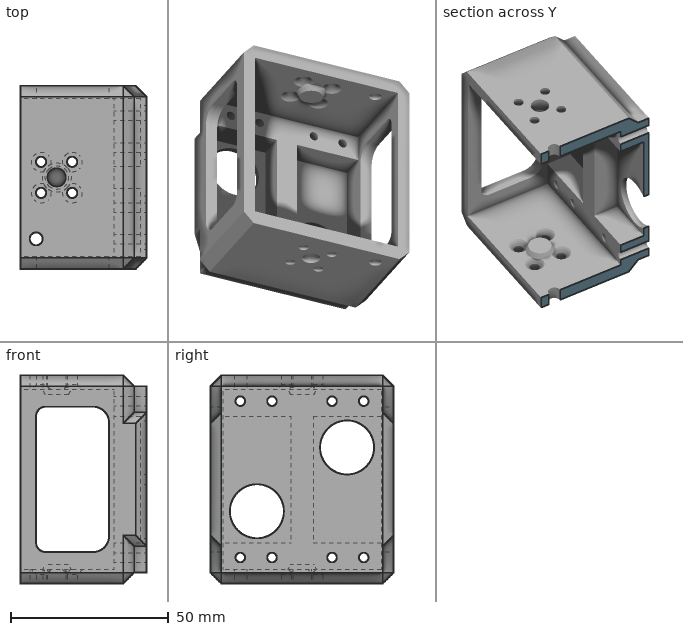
import cadquery as cq

DEPTH = 40.0
WIDTH = 58.0
HEIGHT = 66.0

CHAMFER = 3.5
BACK_STEP = 3.95
SIDE_WALL = 3.95
END_WALL = 4.5
SHELL_DEPTH = DEPTH - BACK_STEP

PAD_HEIGHT = 35.4
PAD_START = SHELL_DEPTH - CHAMFER

CAVITY_DEPTH = 29.5
CAVITY_WIDTH = WIDTH - 2 * SIDE_WALL
CAVITY_HEIGHT = HEIGHT - 2 * END_WALL
RIB_WIDTH = 7.0
POCKET_WIDTH = (CAVITY_WIDTH - RIB_WIDTH) / 2
POCKET_HEIGHT = 40.0
POCKET_FLOOR = 2.0
POCKET_Y = (RIB_WIDTH + POCKET_WIDTH) / 2

SHAFT_DIAMETER = 17.0
SHAFT_OFFSET_Z = 10.1
MOUNT_DIAMETER = 3.0
MOUNT_Y = 14.5
MOUNT_SPACING_Y = 10.0
MOUNT_SPACING_Z = 49.5

WINDOW_START = 5.0
WINDOW_END = 28.05
WINDOW_HEIGHT = 45.95
WINDOW_FRONT_RADIUS = 3.0
WINDOW_BACK_RADIUS = 5.0

PIVOT_X = 11.5
PIVOT_HOLE_DIAMETER = 5.8
PIVOT_HOLE_DEPTH = END_WALL
BOSS_BASE_DIAMETER = 9.2
BOSS_TIP_DIAMETER = 7.4
BOSS_HEIGHT = 1.6
SCREW_SPACING = 9.85
SCREW_DIAMETER = 3.2
COUNTERSINK_DIAMETER = 6.2

CABLE_DIAMETER = 4.0
CABLE_X = 5.0
CABLE_Y = -19.5


def block(x_start, x_end, width, height):
    """Box between two X positions, centred on the X axis."""
    box = cq.Workplane("XY").box(x_end - x_start, width, height, centered=(False, True, True))
    return box.translate((x_start, 0, 0))


def make_outer_body():
    shell = block(0, SHELL_DEPTH, WIDTH, HEIGHT).edges("|X or >X").chamfer(CHAMFER)
    plate = block(PAD_START, DEPTH, WIDTH - 2 * CHAMFER, HEIGHT - 2 * CHAMFER)
    pads = (
        block(PAD_START, DEPTH, WIDTH, PAD_HEIGHT + 2 * CHAMFER)
        .edges("|X").chamfer(CHAMFER)
        .edges(">X and |Z").chamfer(CHAMFER)
    )
    return shell.union(plate).union(pads)


def cut_cavity(body):
    body = body.cut(block(0, CAVITY_DEPTH, CAVITY_WIDTH, CAVITY_HEIGHT))
    pocket = block(CAVITY_DEPTH, DEPTH - POCKET_FLOOR, POCKET_WIDTH, POCKET_HEIGHT)
    for side in (-1, 1):
        body = body.cut(pocket.translate((0, side * POCKET_Y, 0)))
    return body


def cut_back_holes(body):
    mount_points = [
        (side * MOUNT_Y + across * MOUNT_SPACING_Y / 2, end * MOUNT_SPACING_Z / 2)
        for side in (-1, 1)
        for across in (-1, 1)
        for end in (-1, 1)
    ]
    shaft_points = [(side * POCKET_Y, side * SHAFT_OFFSET_Z) for side in (-1, 1)]
    mounts = cq.Workplane("YZ").pushPoints(mount_points).circle(MOUNT_DIAMETER / 2).extrude(DEPTH)
    shafts = cq.Workplane("YZ").pushPoints(shaft_points).circle(SHAFT_DIAMETER / 2).extrude(DEPTH)
    return body.cut(mounts).cut(shafts)


def cut_windows(body):
    window = (
        block(WINDOW_START, WINDOW_END, WIDTH, WINDOW_HEIGHT)
        .edges("|Y and <X").fillet(WINDOW_FRONT_RADIUS)
        .edges("|Y and >X").fillet(WINDOW_BACK_RADIUS)
    )
    return body.cut(window)


def add_pivots(body):
    """Tapered bosses inside both end walls, each backed by a blind hole from outside.

    The boss has a round root in the wall, which fills in the edges of the countersinks.
    """
    boss = (
        cq.Workplane("XY", origin=(PIVOT_X, 0, END_WALL - HEIGHT / 2))
        .circle(BOSS_BASE_DIAMETER / 2)
        .workplane(offset=BOSS_HEIGHT)
        .circle(BOSS_TIP_DIAMETER / 2)
        .loft()
    )
    root = (
        cq.Workplane("XY", origin=(PIVOT_X, 0, -HEIGHT / 2))
        .circle(BOSS_BASE_DIAMETER / 2)
        .extrude(END_WALL)
    )
    boss = boss.union(root)
    hole = (
        cq.Workplane("XY", origin=(PIVOT_X, 0, -HEIGHT / 2))
        .circle(PIVOT_HOLE_DIAMETER / 2)
        .extrude(PIVOT_HOLE_DEPTH)
    )
    body = body.union(boss).union(boss.mirror("XY"))
    return body.cut(hole).cut(hole.mirror("XY"))


def cut_end_holes(body):
    """Countersunk screw holes and the cable hole, through both end walls."""
    screw_points = [
        (PIVOT_X + along * SCREW_SPACING / 2, across * SCREW_SPACING / 2)
        for along in (-1, 1)
        for across in (-1, 1)
    ]
    inner_face_z = END_WALL - HEIGHT / 2
    sink_depth = (COUNTERSINK_DIAMETER - SCREW_DIAMETER) / 2
    for x, y in screw_points:
        shank = cq.Workplane("XY", origin=(x, y, -HEIGHT / 2)).circle(SCREW_DIAMETER / 2).extrude(HEIGHT)
        sink = (
            cq.Workplane("XY", origin=(x, y, inner_face_z - sink_depth))
            .circle(SCREW_DIAMETER / 2)
            .workplane(offset=sink_depth)
            .circle(COUNTERSINK_DIAMETER / 2)
            .loft()
        )
        body = body.cut(shank).cut(sink).cut(sink.mirror("XY"))
    cable = (
        cq.Workplane("XY", origin=(CABLE_X, CABLE_Y, -HEIGHT / 2))
        .circle(CABLE_DIAMETER / 2)
        .extrude(HEIGHT)
    )
    return body.cut(cable)


result = make_outer_body()
result = cut_cavity(result)
result = cut_back_holes(result)
result = cut_windows(result)
result = cut_end_holes(result)
result = add_pivots(result)